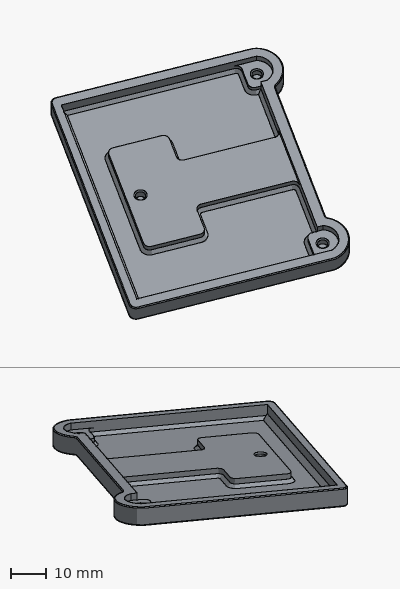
import cadquery as cq
import math

width = 77.0
total_depth = 65.95
height = 5.51
plate_depth = 61.6
edge_chamfer = 0.3
front_corner_radius = 2.0

lug_x = 30.9
lug_radius = 7.75
lug_y = total_depth - lug_radius
lug_root_fillet = 1.0

side_wall = 3.1
front_wall = 2.6
pocket_back_y = 58.25
pocket_half_width = width / 2 - side_wall
floor_z = 1.3
floor_chamfer = 1.0
front_floor_chamfer = 1.45

seat_z = 3.5
seat_front_y = 55.0
seat_inner_x = 26.5
seat_recess_radius = 4.75
seat_corner_radius = 1.75

island_z = 3.9
stem_half_width = 8.05
head_half_width = 18.0
head_front_y = 10.55
head_back_y = 28.3
head_corner_radius = 1.75
stem_corner_radius = 1.75

hole_diameter = 2.85
hole_mouth_diameter = 3.65
hole_bottom_z = 1.3
island_hole_y = 14.75
seat_hole_y = 58.45

overlap = 1.0


def box(x_min, x_max, y_min, y_max, z_min, z_max):
    """Axis-aligned block between the given limits."""
    size = (x_max - x_min, y_max - y_min, z_max - z_min)
    return cq.Workplane("XY").box(*size, centered=False).translate((x_min, y_min, z_min))


def mirrored(points):
    """The given XY points together with their images across the YZ plane."""
    return points + [(-x, y) for x, y in points]


def fillet_corners(solid, corners, radius, reach=0.1):
    """Round the vertical edges that stand on the given XY points and on their mirror images in X."""
    selector = None
    for x, y in mirrored(corners):
        low = (x - reach, y - reach, -height)
        high = (x + reach, y + reach, 2 * height)
        here = cq.selectors.BoxSelector(low, high)
        selector = here if selector is None else selector + here
    return solid.edges("|Z").edges(selector).fillet(radius)


def chamfer_rims(block):
    """Chamfer the outer edges of the top and bottom faces."""
    return block.faces("<Z or >Z").edges().chamfer(edge_chamfer)


def make_front_and_sides():
    """Chamfered block that bounds the front and the flat sides; it runs on past the back."""
    half_width = width / 2
    block = box(-half_width, half_width, 0, total_depth + overlap, 0, height)
    return chamfer_rims(fillet_corners(block, [(half_width, 0)], front_corner_radius))


def make_back():
    """Chamfered block that bounds the back edge and both lugs; it runs on past the front."""
    outer_x = lug_x + lug_radius
    root_x = lug_x - math.sqrt(lug_radius**2 - (plate_depth - lug_y) ** 2)
    block = (
        cq.Workplane("XY")
        .moveTo(-outer_x, -overlap)
        .lineTo(outer_x, -overlap)
        .lineTo(outer_x, lug_y)
        .threePointArc((lug_x, total_depth), (root_x, plate_depth))
        .lineTo(-root_x, plate_depth)
        .threePointArc((-lug_x, total_depth), (-outer_x, lug_y))
        .close()
        .extrude(height)
    )
    return chamfer_rims(fillet_corners(block, [(root_x, plate_depth)], lug_root_fillet))


def make_body():
    """Solid outer block: plate with two round lugs that the flat sides cut off."""
    return make_front_and_sides().intersect(make_back())


def make_floor_pocket():
    """Space between the rim, the screw seats and the island, with a sloped foot all round."""
    top_z = height + overlap
    pocket = box(-pocket_half_width, pocket_half_width, front_wall, pocket_back_y, floor_z, top_z)
    stem = box(-stem_half_width, stem_half_width, head_front_y, pocket_back_y, floor_z, top_z)
    head = box(-head_half_width, head_half_width, head_front_y, head_back_y, floor_z, top_z)
    left_seat = box(-pocket_half_width, -seat_inner_x, seat_front_y, pocket_back_y, floor_z, top_z)
    right_seat = left_seat.mirror("YZ")
    for raised in (stem, head, left_seat, right_seat):
        pocket = pocket.cut(raised)
    head_corners = [(head_half_width, head_front_y), (head_half_width, head_back_y)]
    stem_corners = [(stem_half_width, head_back_y), (stem_half_width, pocket_back_y)]
    seat_corners = [(seat_inner_x, seat_front_y), (pocket_half_width, seat_front_y)]
    pocket = fillet_corners(pocket, head_corners, head_corner_radius)
    pocket = fillet_corners(pocket, stem_corners, stem_corner_radius)
    pocket = fillet_corners(pocket, seat_corners, seat_corner_radius)
    pocket = pocket.faces("<Z").edges("not <Y").chamfer(floor_chamfer)
    return pocket.faces("<Y").edges("<Z").chamfer(front_floor_chamfer)


def make_seat_recess(side):
    """Clearance above the seat on one side (-1 or 1): a block whose back end is an arc about the lug axis."""
    inner_x = side * seat_inner_x
    outer_x = side * pocket_half_width
    front_y = seat_front_y - seat_corner_radius
    back_arc_y = lug_y + seat_recess_radius
    inner_y = lug_y + math.sqrt(seat_recess_radius**2 - (lug_x - seat_inner_x) ** 2)
    outer_y = lug_y + math.sqrt(seat_recess_radius**2 - (pocket_half_width - lug_x) ** 2)
    return (
        cq.Workplane("XY", origin=(0, 0, seat_z))
        .moveTo(outer_x, front_y)
        .lineTo(outer_x, outer_y)
        .threePointArc((side * lug_x, back_arc_y), (inner_x, inner_y))
        .lineTo(inner_x, front_y)
        .close()
        .extrude(height)
    )


def make_island_recess():
    """Clearance above the island."""
    return box(-head_half_width, head_half_width, head_front_y, pocket_back_y, island_z, height + overlap)


def make_hole(x, y, mouth_z):
    """Blind hole with a countersunk mouth at the given level."""
    drill_radius = hole_diameter / 2
    mouth_radius = hole_mouth_diameter / 2
    sink_z = mouth_z - (mouth_radius - drill_radius)
    half_section = [
        (0, hole_bottom_z),
        (drill_radius, hole_bottom_z),
        (drill_radius, sink_z),
        (mouth_radius, mouth_z),
        (0, mouth_z),
    ]
    hole = cq.Workplane("XZ").polyline(half_section).close().revolve(360, (0, 0), (0, 1))
    return hole.translate((x, y, 0))


result = make_body().cut(make_floor_pocket()).cut(make_island_recess())
result = result.cut(make_hole(0, island_hole_y, island_z))
for side in (-1, 1):
    result = result.cut(make_seat_recess(side))
    result = result.cut(make_hole(side * lug_x, seat_hole_y, seat_z))